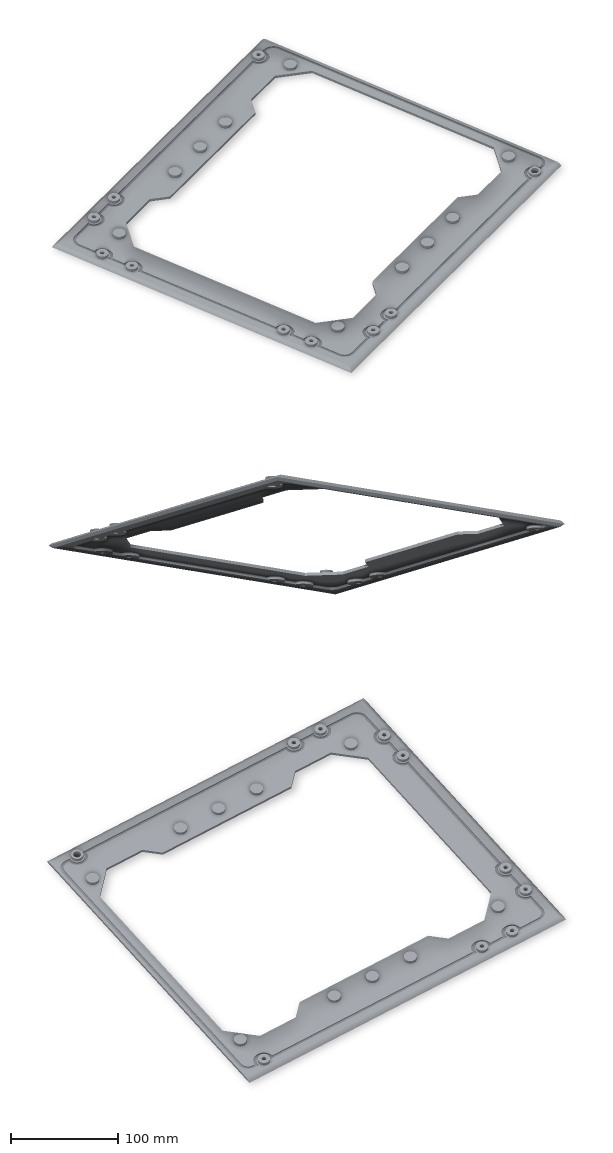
import cadquery as cq
import math

WIDTH = 333.0
LENGTH = 358.0
PLATE_THICKNESS = 5.5
PEG_HEIGHT = 3.2
TOP_Z = PLATE_THICKNESS + PEG_HEIGHT

ROUND_WIDTH = 4.5
ROUND_RADIUS = 7.0
TIP_Z = 2.5
BEVEL_WIDTH = 3.0

OPENING_Y = 12.5
OPENING_HALF_WIDTH = 126.0
OPENING_HALF_LENGTH = 151.8
CORNER_CUT = 25.0
WAIST_HALF_WIDTH = 112.5
WAIST_HALF_LENGTH = 72.5

PEG_DIAMETER = 12.0
CORNER_PEG_X = 121.5
CORNER_PEG_DY = 145.7
ODD_PEG_SHIFT = 1.5
SIDE_PEG_X = 126.5
SIDE_PEG_PITCH = 43.0

BOSS_DIAMETER = 11.5
SCREW_HOLE = 4.3
LARGE_SCREW_HOLE = 7.5
SIDE_BOSS_X = 153.5
BACK_BOSS_Y = 153.5
FRONT_BOSS_Y = -166.0
LARGE_HOLE_BOSS = (SIDE_BOSS_X, BACK_BOSS_Y)
LEFT_BOSSES = [(-SIDE_BOSS_X, y) for y in (BACK_BOSS_Y, -92.7, -126.7)]
RIGHT_BOSSES = [(SIDE_BOSS_X, y) for y in (-91.3, -121.5)]
FRONT_BOSSES = [(x, FRONT_BOSS_Y) for x in (-118.5, -85.5, 83.0, 114.0)]
SMALL_HOLE_BOSSES = LEFT_BOSSES + RIGHT_BOSSES + FRONT_BOSSES
ALL_BOSSES = SMALL_HOLE_BOSSES + [LARGE_HOLE_BOSS]

GROOVE_WIDTH = 3.0
GROOVE_DEPTH = 1.5
GROOVE_HALF_WIDTH = 155.5
GROOVE_BACK_Y = 176.0
GROOVE_FRONT_Y = -167.0
GROOVE_CORNER_RADIUS = 10.7
DETOUR_INNER_RADIUS = 7.0

SHEET_THICKNESS = 3.0


def edge_profile(plane, half_size, round_far_side, round_near_side):
    """Plate cross-section on the given plane, with a rounded or upright wall on each side."""
    round_height = PLATE_THICKNESS - TIP_Z
    chord = math.hypot(ROUND_WIDTH, round_height)
    bulge = ROUND_RADIUS - math.sqrt(ROUND_RADIUS**2 - (chord / 2) ** 2)
    top_half = half_size - ROUND_WIDTH
    arc_mid_x = half_size - ROUND_WIDTH / 2 + bulge * round_height / chord
    arc_mid_z = TIP_Z + round_height / 2 + bulge * ROUND_WIDTH / chord
    bottom_half = half_size - BEVEL_WIDTH

    profile = cq.Workplane(plane).moveTo(-bottom_half, 0).lineTo(bottom_half, 0).lineTo(half_size, TIP_Z)
    if round_far_side:
        profile = profile.threePointArc((arc_mid_x, arc_mid_z), (top_half, PLATE_THICKNESS))
    else:
        profile = profile.lineTo(half_size, PLATE_THICKNESS)
    if round_near_side:
        profile = profile.lineTo(-top_half, PLATE_THICKNESS)
        profile = profile.threePointArc((-arc_mid_x, arc_mid_z), (-half_size, TIP_Z))
    else:
        profile = profile.lineTo(-half_size, PLATE_THICKNESS).lineTo(-half_size, TIP_Z)
    return profile.close()


def plate():
    """Rounded on the left, right and front; the back wall is upright above its bevel."""
    across = edge_profile("XZ", WIDTH / 2, True, True).extrude(LENGTH / 2, both=True)
    along = edge_profile("YZ", LENGTH / 2, False, True).extrude(WIDTH / 2, both=True)
    return across.intersect(along)


def opening():
    """Rectangle with cut corners and a narrower waist, reached by 45 degree steps."""
    waist_step = OPENING_HALF_WIDTH - WAIST_HALF_WIDTH
    quarter = [
        (WAIST_HALF_WIDTH, WAIST_HALF_LENGTH),
        (OPENING_HALF_WIDTH, WAIST_HALF_LENGTH + waist_step),
        (OPENING_HALF_WIDTH, OPENING_HALF_LENGTH - CORNER_CUT),
        (OPENING_HALF_WIDTH - CORNER_CUT, OPENING_HALF_LENGTH),
    ]
    back_half = quarter + [(-x, y) for x, y in reversed(quarter)]
    front_half = [(-x, -y) for x, y in back_half]
    outline = cq.Workplane("XY").center(0, OPENING_Y).polyline(back_half + front_half).close()
    return outline.extrude(PLATE_THICKNESS)


def cylinders(points, diameter, bottom_z, top_z):
    base = cq.Workplane("XY", origin=(0, 0, bottom_z)).pushPoints(points)
    return base.circle(diameter / 2).extrude(top_z - bottom_z)


def groove_region(inset, bottom_z, top_z):
    """Slab inside the groove's outer line, moved in by an inset, with a round bite at every boss."""
    bite_diameter = 2 * (DETOUR_INNER_RADIUS + inset)
    centre_y = (GROOVE_BACK_Y + GROOVE_FRONT_Y) / 2
    block = (
        cq.Workplane("XY", origin=(0, centre_y, bottom_z))
        .rect(2 * (GROOVE_HALF_WIDTH - inset), GROOVE_BACK_Y - GROOVE_FRONT_Y - 2 * inset)
        .extrude(top_z - bottom_z)
        .edges("|Z")
        .fillet(GROOVE_CORNER_RADIUS - inset)
    )
    return block.cut(cylinders(ALL_BOSSES, bite_diameter, bottom_z, top_z))


def seal_groove():
    floor_z = PLATE_THICKNESS - GROOVE_DEPTH
    outside = groove_region(0, floor_z, PLATE_THICKNESS)
    island = groove_region(GROOVE_WIDTH, floor_z, PLATE_THICKNESS)
    return outside.cut(island)


def underside_recess():
    return groove_region(GROOVE_WIDTH, 0, PLATE_THICKNESS - SHEET_THICKNESS)


def peg_positions():
    """Four corner pegs, the front right one slightly further out, and three pegs on each side."""
    back_y = OPENING_Y + CORNER_PEG_DY
    front_y = OPENING_Y - CORNER_PEG_DY
    corners = [
        (-CORNER_PEG_X, back_y),
        (CORNER_PEG_X, back_y),
        (-CORNER_PEG_X, front_y),
        (CORNER_PEG_X + ODD_PEG_SHIFT, front_y - ODD_PEG_SHIFT),
    ]
    sides = [(side * SIDE_PEG_X, OPENING_Y + row * SIDE_PEG_PITCH) for side in (-1, 1) for row in (-1, 0, 1)]
    return corners + sides


result = (
    plate()
    .cut(opening())
    .cut(seal_groove())
    .cut(underside_recess())
    .union(cylinders(peg_positions(), PEG_DIAMETER, PLATE_THICKNESS, TOP_Z))
    .union(cylinders(ALL_BOSSES, BOSS_DIAMETER, PLATE_THICKNESS, TOP_Z))
    .cut(cylinders(SMALL_HOLE_BOSSES, SCREW_HOLE, 0, TOP_Z))
    .cut(cylinders([LARGE_HOLE_BOSS], LARGE_SCREW_HOLE, 0, TOP_Z))
)